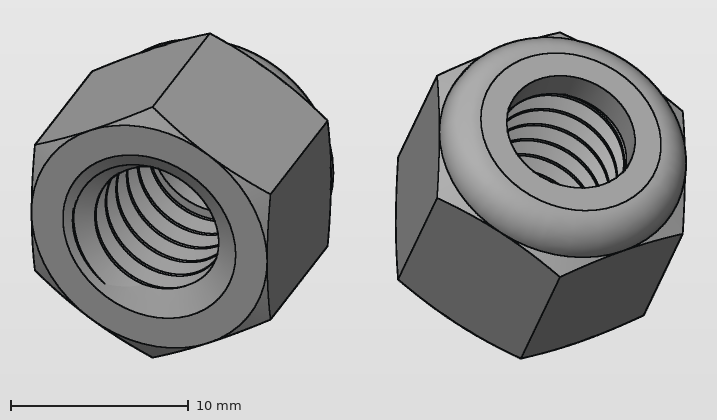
import cadquery as cq
import math


INCH = 25.4

thread_diameter = 3 / 8 * INCH
pitch = INCH / 16
across_flats = 9 / 16 * INCH
total_height = 11.51
corner_chamfer_angle = 24.5
countersink_angle = 130
thread_phase = 98

flank_angle = math.radians(30)
sharp_height = pitch / (2 * math.tan(flank_angle))
thread_depth = 0.75 * sharp_height
root_radius = thread_diameter / 2
bore_radius = root_radius - thread_depth
root_half_width = pitch / 16
cutter_overlap = 0.1
cutter_radius = bore_radius - cutter_overlap
cutter_half_width = root_half_width + (thread_depth + cutter_overlap) * math.tan(flank_angle)

countersink_radius = 1.1 * root_radius
countersink_depth = (countersink_radius - bore_radius) / math.tan(math.radians(countersink_angle / 2))

flat_radius = across_flats / 2
corner_radius = flat_radius / math.cos(math.pi / 6)
chamfer_depth = (corner_radius - flat_radius) * math.tan(math.radians(corner_chamfer_angle))
insert_radius = countersink_radius
collar_radius = flat_radius - insert_radius
hex_height = total_height - collar_radius


def onto_nut_axis(body):
    return body.rotate((0, 0, 0), (1, 0, 0), -90)


def make_hexagon():
    """Hexagonal prism with its corners turned off conically at both ends."""
    prism = (
        cq.Workplane("XY")
        .polygon(6, 2 * corner_radius)
        .extrude(hex_height)
        .rotate((0, 0, 0), (0, 0, 1), 30)
    )
    turned_envelope = (
        cq.Workplane("XZ")
        .moveTo(0, 0)
        .lineTo(flat_radius, 0)
        .lineTo(corner_radius, chamfer_depth)
        .lineTo(corner_radius, hex_height - chamfer_depth)
        .lineTo(flat_radius, hex_height)
        .lineTo(0, hex_height)
        .close()
        .revolve(360, (0, 0, 0), (0, 1, 0))
    )
    return prism.intersect(turned_envelope)


def make_collar():
    """Quarter-round ring that wraps the insert."""
    arc_offset = collar_radius * math.sqrt(0.5)
    return (
        cq.Workplane("XZ")
        .moveTo(insert_radius, hex_height)
        .lineTo(flat_radius, hex_height)
        .threePointArc(
            (insert_radius + arc_offset, hex_height + arc_offset),
            (insert_radius, total_height),
        )
        .close()
        .revolve(360, (0, 0, 0), (0, 1, 0))
    )


def make_bore_cutter():
    """Plain bore with the countersink at the bearing face."""
    return (
        cq.Workplane("XZ")
        .moveTo(0, 0)
        .lineTo(countersink_radius, 0)
        .lineTo(bore_radius, countersink_depth)
        .lineTo(bore_radius, hex_height)
        .lineTo(0, hex_height)
        .close()
        .revolve(360, (0, 0, 0), (0, 1, 0))
    )


def make_groove_cutter():
    """Right-hand flat-bottomed V groove that overruns both ends of the threaded bore by one pitch."""
    helix = cq.Wire.makeHelix(pitch, hex_height + 2 * pitch, cutter_radius)
    return (
        cq.Workplane("XZ")
        .moveTo(cutter_radius, -cutter_half_width)
        .lineTo(root_radius, -root_half_width)
        .lineTo(root_radius, root_half_width)
        .lineTo(cutter_radius, cutter_half_width)
        .close()
        .sweep(cq.Workplane(obj=helix), isFrenet=True)
        .translate((0, 0, -pitch))
        .rotate((0, 0, 0), (0, 0, 1), thread_phase)
    )


def make_nut():
    blank = make_hexagon().union(make_collar())
    return blank.cut(make_groove_cutter()).cut(make_bore_cutter())


def make_insert():
    """Plain locking ring that fills the collar, flush with its end."""
    return (
        cq.Workplane("XY")
        .workplane(offset=hex_height)
        .circle(insert_radius)
        .circle(bore_radius)
        .extrude(collar_radius)
    )


nut = onto_nut_axis(make_nut())
insert = onto_nut_axis(make_insert())

result = cq.Compound.makeCompound([nut.solids().val(), insert.solids().val()])